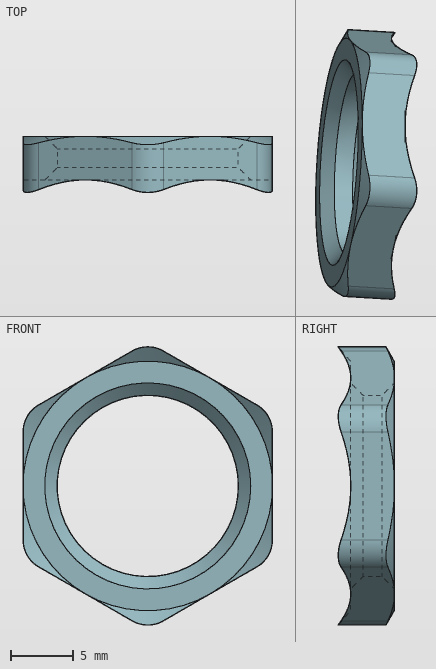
import cadquery as cq
import math

across_flats = 20.0
corner_radius = 2.5
total_width = 4.5

bore_diameter = 14.5
countersink_diameter = 16.52
countersink_depth = (countersink_diameter - bore_diameter) / 2

corner_rise = 1.0
bevel_angle = 30.0

flat_radius = across_flats / 2
tip_radius = (flat_radius - corner_radius) / math.cos(math.radians(30)) + corner_radius
corner_reach = tip_radius - flat_radius
bevel_depth = corner_reach * math.tan(math.radians(bevel_angle))
face_width = total_width - corner_rise


def revolve_profile(points):
    """Turn an outline of (radius, y) points around the Y axis."""
    return cq.Workplane("XY").polyline(points).close().revolve(360, (0, 0, 0), (0, 1, 0))


def rounded_hexagon():
    """Hexagonal prism from y = 0 to y = -total_width with rounded corners."""
    corner_diameter = across_flats / math.cos(math.radians(30))
    return (
        cq.Workplane("XZ")
        .transformed(rotate=(0, 0, 30))
        .polygon(6, corner_diameter)
        .extrude(total_width)
        .edges("|Y")
        .fillet(corner_radius)
    )


def turned_envelope():
    """Ring section: countersunk bore, flat front ring, flared and bevelled rim."""
    bore_radius = bore_diameter / 2
    countersink_radius = countersink_diameter / 2
    return revolve_profile([
        (countersink_radius, 0),
        (flat_radius, 0),
        (tip_radius, -bevel_depth),
        (tip_radius, -total_width),
        (flat_radius, -face_width),
        (countersink_radius, -face_width),
        (bore_radius, countersink_depth - face_width),
        (bore_radius, -countersink_depth),
    ])


body = rounded_hexagon().intersect(turned_envelope())
result = body.translate((0, total_width / 2, 0))